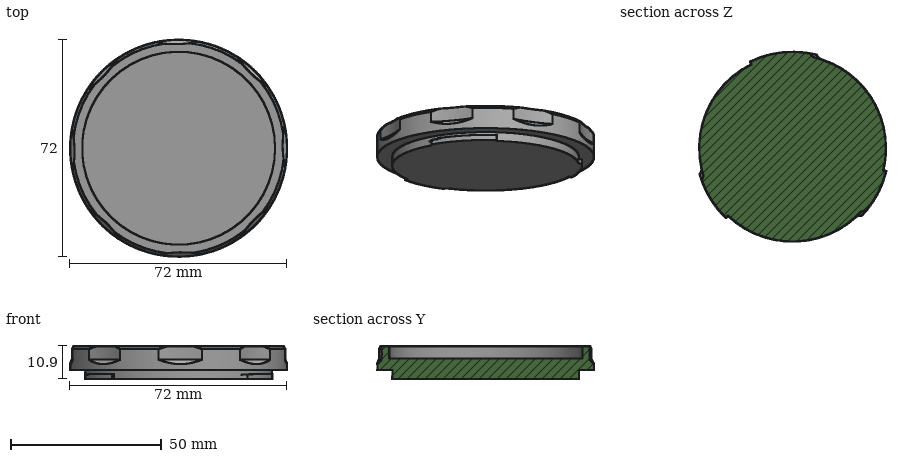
import cadquery as cq
import math

total_height = 10.94
neck_height = 3.0
recess_depth = 4.0

cap_diameter = 72.0
neck_diameter = 62.0
recess_diameter = 64.0
rim_chamfer = 1.0

scallop_count = 8
scallop_turn = 0.9
scallop_diameter = 68.0
scallop_depth = 1.5
scallop_floor_height = 6.5

tab_diameter = 64.0
tab_height = 1.75
tab_lead_fillet = 2.0
tab_root = 1.0
tab_spans = ((72.4, 116.2), (192.4, 226.3), (312.4, 346.3))
lead_ramp_drop = 0.25
lead_ramp_length = 3.0

cap_radius = cap_diameter / 2
neck_radius = neck_diameter / 2
tab_radius = tab_diameter / 2


def polar(radius, degrees):
    """Point at a radius and an angle about the part axis."""
    angle = math.radians(degrees)
    return (radius * math.cos(angle), radius * math.sin(angle))


def make_body():
    """Neck and chamfered cap, with the round recess in the top."""
    cap_height = total_height - neck_height
    neck = cq.Workplane("XY").circle(neck_radius).extrude(neck_height)
    cap = (
        cq.Workplane("XY", origin=(0, 0, neck_height))
        .circle(cap_radius)
        .extrude(cap_height)
        .faces(">Z")
        .chamfer(rim_chamfer)
    )
    recess = (
        cq.Workplane("XY", origin=(0, 0, total_height - recess_depth))
        .circle(recess_diameter / 2)
        .extrude(recess_depth)
    )
    return neck.union(cap).cut(recess)


def make_scallop_cutter():
    """Upright cylinder with a 45 degree conical foot, standing just outside the rim on +X."""
    radius = scallop_diameter / 2
    cone_drop = scallop_floor_height - neck_height
    return (
        cq.Workplane("XZ")
        .moveTo(0, neck_height)
        .lineTo(radius - cone_drop, neck_height)
        .lineTo(radius, scallop_floor_height)
        .lineTo(radius, total_height)
        .lineTo(0, total_height)
        .close()
        .revolve(360, (0, 0, 0), (0, 1, 0))
        .translate((cap_radius - scallop_depth + radius, 0, 0))
    )


def make_tab(lead_angle, end_angle):
    """Bayonet tab with a concave lead-in, a square far end and a ramped top at the lead."""
    centre_radius = neck_radius + tab_lead_fillet
    centre = polar(centre_radius, lead_angle)
    cosine = (centre_radius**2 + tab_radius**2 - tab_lead_fillet**2) / (2 * centre_radius * tab_radius)
    lead_outer = polar(tab_radius, lead_angle + math.degrees(math.acos(cosine)))
    lead_inner = polar(neck_radius, lead_angle)
    chord_middle = [(a + b) / 2 for a, b in zip(lead_inner, lead_outer)]
    toward_middle = [m - c for m, c in zip(chord_middle, centre)]
    stretch = tab_lead_fillet / math.hypot(*toward_middle)
    lead_middle = tuple(c + t * stretch for c, t in zip(centre, toward_middle))

    mid_angle = (lead_angle + end_angle) / 2
    root_radius = neck_radius - tab_root
    tab = (
        cq.Workplane("XY")
        .moveTo(*polar(root_radius, lead_angle))
        .lineTo(*lead_inner)
        .threePointArc(lead_middle, lead_outer)
        .threePointArc(polar(tab_radius, mid_angle), polar(tab_radius, end_angle))
        .lineTo(*polar(root_radius, end_angle))
        .threePointArc(polar(root_radius, mid_angle), polar(root_radius, lead_angle))
        .close()
        .extrude(tab_height)
    )

    chord = cq.Vector(lead_outer[0] - lead_inner[0], lead_outer[1] - lead_inner[1], 0)
    into_tab = cq.Vector(0, 0, 1).cross(chord).normalized()
    ramp_plane = cq.Plane(
        origin=(*lead_middle, tab_height),
        xDir=into_tab,
        normal=chord.normalized(),
    )
    ramp_outline = [
        (-lead_ramp_length, -2 * lead_ramp_drop),
        (lead_ramp_length, 0),
        (-lead_ramp_length, 0),
    ]
    wedge = (
        cq.Workplane(ramp_plane)
        .polyline(ramp_outline)
        .close()
        .extrude(tab_lead_fillet + tab_root, both=True)
    )
    return tab.cut(wedge)


result = make_body()

scallop_cutter = make_scallop_cutter()
for index in range(scallop_count):
    turn = scallop_turn + index * 360 / scallop_count
    result = result.cut(scallop_cutter.rotate((0, 0, 0), (0, 0, 1), turn))

for lead, end in tab_spans:
    result = result.union(make_tab(lead, end))